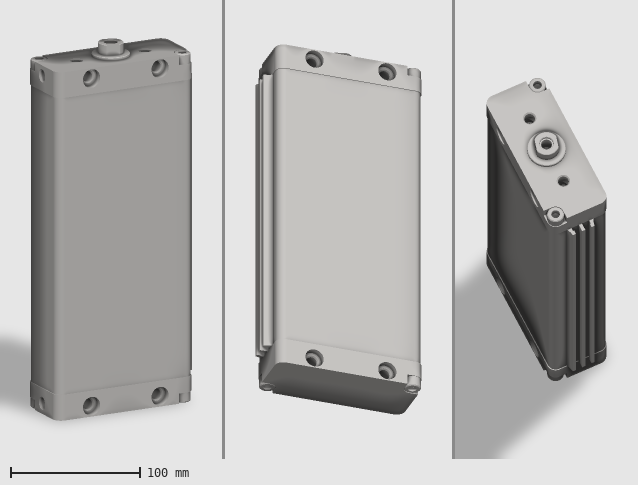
import cadquery as cq
import math

total_height = 292.0
rod_projection = 11.0
cap_height = 20.75
cap_width = 50.0
cap_length = 120.5
corner_radius = 7.0
barrel_inset = 0.75
body_height = total_height - rod_projection
barrel_top = body_height - cap_height
barrel_height = barrel_top - cap_height

rail_tip_y = 66.25
center_rail_width = 2.7
hook_height = 3.2
hook_tip_inner = 6.7
hook_stem_inner = 7.6
hook_tip_outer = 9.3
hook_middle_outer = 10.1
hook_foot_outer = 11.6

screw_x = cap_width / 2 - corner_radius
screw_y = cap_length / 2 - corner_radius
notch_radius = 6.58
notch_depth = 8.2
screw_head_diameter = 13.0
screw_head_chamfer = 0.75
socket_diameter = 6.7
socket_depth = 5.0

hole_offset_y = 30.0
side_hole_inset = 8.4
counterbore_diameter = 15.0
counterbore_depth = 6.0
thread_diameter = 8.38
thread_mouth_diameter = 10.4
port_depth = 12.0
top_hole_depth = 15.0

collar_diameter = 30.0
collar_height = 2.4
collar_chamfer = 0.5
rod_diameter = 20.0
rod_chamfer = 0.4
flat_distance = 17.0
flat_angle = -15.0
rod_hole_depth = 15.0
rod_hole_mouth_diameter = 11.45
rod_relief_diameter = 10.5
rod_relief_depth = 2.0
drill_tip_angle = 118.0


def rounded_block(width, length, height, radius, bottom_z):
    block = cq.Workplane("XY", origin=(0, 0, bottom_z)).rect(width, length).extrude(height)
    return block.edges("|Z").fillet(radius)


def cylinder(diameter, depth, start, direction):
    return cq.Workplane(cq.Solid.makeCylinder(diameter / 2, depth, cq.Vector(start), cq.Vector(direction)))


def mouthed_hole(diameter, mouth_diameter, depth, start, direction):
    """Flat-bottomed hole with a 45 degree countersunk mouth."""
    mouth_depth = (mouth_diameter - diameter) / 2
    mouth = cq.Solid.makeCone(
        mouth_diameter / 2, diameter / 2, mouth_depth, cq.Vector(start), cq.Vector(direction)
    )
    return cylinder(diameter, depth, start, direction).union(cq.Workplane(mouth))


def threaded_hole(start, direction, depth):
    return mouthed_hole(thread_diameter, thread_mouth_diameter, depth, start, direction)


def drilled_hole(diameter, depth, start, direction):
    """Blind hole that ends in a drill cone."""
    axis = cq.Vector(direction)
    tip_length = diameter / 2 / math.tan(math.radians(drill_tip_angle / 2))
    tip = cq.Solid.makeCone(diameter / 2, 0, tip_length, cq.Vector(start) + axis * depth, axis)
    return cylinder(diameter, depth, start, direction).union(cq.Workplane(tip))


def counterbored_cross_hole(y, z):
    """Thread hole along X, counterbored at both ends."""
    outer_x = cap_width / 2
    floor_x = outer_x - counterbore_depth
    hole = None
    for side in (-1, 1):
        inward = (-side, 0, 0)
        half = threaded_hole((side * floor_x, y, z), inward, floor_x)
        half = half.union(cylinder(counterbore_diameter, counterbore_depth, (side * outer_x, y, z), inward))
        hole = half if hole is None else hole.union(half)
    return hole


def corner_notch(side, face_z, inward):
    """Round pocket around a screw, opened out square to the two nearest sides."""
    x = side * screw_x
    y = side * screw_y
    span = 2 * notch_radius
    depth = inward * notch_depth
    plane = cq.Workplane("XY", origin=(x, y, face_z))
    notch = plane.circle(notch_radius).extrude(depth)
    toward_x = plane.center(side * notch_radius, 0).rect(span, span).extrude(depth)
    toward_y = plane.center(0, side * notch_radius).rect(span, span).extrude(depth)
    return notch.union(toward_x).union(toward_y)


def screw_head(side, face_z, inward):
    """Chamfered head, flush with the cap face, standing on the floor of its notch."""
    start = (side * screw_x, side * screw_y, face_z)
    axis = (0, 0, inward)
    head = cylinder(screw_head_diameter, notch_depth, start, axis)
    exposed_face = "<Z" if inward > 0 else ">Z"
    head = head.faces(exposed_face).chamfer(screw_head_chamfer)
    return head.cut(drilled_hole(socket_diameter, socket_depth, start, axis))


def make_cap(bottom_z, face_z, inward):
    """End cap whose outer face is at face_z; inward is the Z direction into the cap."""
    hole_z = face_z + inward * side_hole_inset
    cap = rounded_block(cap_width, cap_length, cap_height, corner_radius, bottom_z)
    for side in (-1, 1):
        cap = cap.cut(counterbored_cross_hole(side * hole_offset_y, hole_z))
        cap = cap.cut(corner_notch(side, face_z, inward))
        cap = cap.union(screw_head(side, face_z, inward))
    return cap.cut(threaded_hole((0, -cap_length / 2, hole_z), (0, 1, 0), port_depth))


def make_top_cap():
    cap = make_cap(barrel_top, body_height, -1)
    for side in (-1, 1):
        cap = cap.cut(threaded_hole((0, side * hole_offset_y, body_height), (0, 0, -1), top_hole_depth))
    collar = cylinder(collar_diameter, collar_height, (0, 0, body_height), (0, 0, 1))
    cap = cap.union(collar.faces(">Z").chamfer(collar_chamfer))
    return cap.cut(cylinder(rod_diameter, cap_height + collar_height, (0, 0, barrel_top), (0, 0, 1)))


def make_barrel():
    width = cap_width - 2 * barrel_inset
    length = cap_length - 2 * barrel_inset
    face_y = length / 2
    barrel = rounded_block(width, length, barrel_height, corner_radius - barrel_inset, cap_height)

    base = cq.Workplane("XY", origin=(0, 0, cap_height))
    half = center_rail_width / 2
    center_rail = base.polyline(
        [(-half, 0), (half, 0), (half, rail_tip_y), (-half, rail_tip_y)]
    ).close().extrude(barrel_height)

    hook_y = rail_tip_y - hook_height
    middle_y = (face_y + rail_tip_y) / 2
    hook = (
        base.moveTo(hook_stem_inner, 0)
        .lineTo(hook_foot_outer, 0)
        .lineTo(hook_foot_outer, face_y)
        .threePointArc((hook_middle_outer, middle_y), (hook_tip_outer, rail_tip_y))
        .lineTo(hook_tip_inner, rail_tip_y)
        .lineTo(hook_tip_inner, hook_y)
        .lineTo(hook_stem_inner, hook_y)
        .close()
        .extrude(barrel_height)
    )
    return barrel.union(center_rail).union(hook).union(hook.mirror("YZ"))


def make_rod():
    """Piston rod with two wrench flats above the collar and a relieved thread hole in its end."""
    flat_bottom = body_height + collar_height
    rod = cylinder(rod_diameter, total_height - barrel_top, (0, 0, barrel_top), (0, 0, 1))
    rod = rod.faces(">Z").chamfer(rod_chamfer)
    for side in (-1, 1):
        cutter = (
            cq.Workplane("XY", origin=(0, 0, flat_bottom))
            .center(side * (flat_distance + rod_diameter) / 2, 0)
            .rect(rod_diameter, 2 * rod_diameter)
            .extrude(rod_projection)
            .rotate((0, 0, 0), (0, 0, 1), flat_angle)
        )
        rod = rod.cut(cutter)
    end = (0, 0, total_height)
    down = (0, 0, -1)
    rod = rod.cut(drilled_hole(thread_diameter, rod_hole_depth, end, down))
    relief = mouthed_hole(rod_relief_diameter, rod_hole_mouth_diameter, rod_relief_depth, end, down)
    return rod.cut(relief)


bottom_cap = make_cap(0, 0, 1)
top_cap = make_top_cap()
barrel = make_barrel()
piston_rod = make_rod()

result = cq.Compound.makeCompound([
    bottom_cap.val(),
    top_cap.val(),
    barrel.val(),
    piston_rod.val(),
])